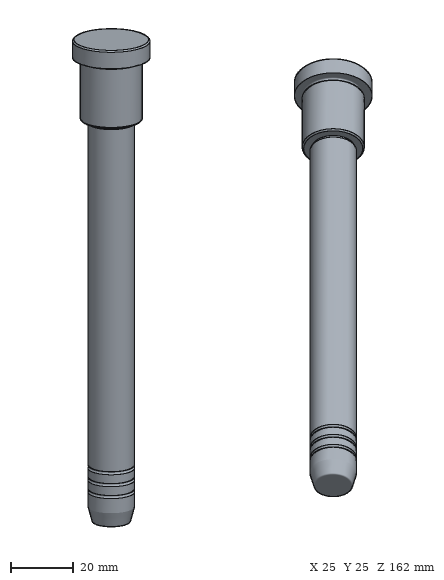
import cadquery as cq
import math

TOTAL_LENGTH = 162.0

HEAD_RADIUS = 12.5
HEAD_HEIGHT = 6.0
HEAD_CHAMFER = 0.5

COLLAR_RADIUS = 10.0
COLLAR_LENGTH = 21.0
COLLAR_CHAMFER = 0.5

SHANK_RADIUS = 7.5
TIP_LENGTH = 5.0
TIP_TAPER_ANGLE = 15.0
TIP_FILLET = 0.5

GROOVE_WIDTH = 1.0
GROOVE_DEPTH = 0.5
GROOVE_FILLET = 0.45
TIP_GROOVE_COUNT = 3
TIP_GROOVE_PITCH = 4.0
LOWEST_TIP_GROOVE = 10.0

HEAD_BOTTOM = TOTAL_LENGTH - HEAD_HEIGHT
COLLAR_BOTTOM = HEAD_BOTTOM - COLLAR_LENGTH
TIP_RADIUS = SHANK_RADIUS - TIP_LENGTH * math.tan(math.radians(TIP_TAPER_ANGLE))


def cylinder(radius, bottom, height):
    return cq.Workplane("XY").workplane(offset=bottom).circle(radius).extrude(height)


def make_head():
    head = cylinder(HEAD_RADIUS, HEAD_BOTTOM, HEAD_HEIGHT)
    return head.faces(">Z").edges().chamfer(HEAD_CHAMFER)


def make_collar():
    collar = cylinder(COLLAR_RADIUS, COLLAR_BOTTOM, COLLAR_LENGTH)
    return collar.faces("<Z").edges().chamfer(COLLAR_CHAMFER)


def make_shank():
    """Cylinder with a conical tip whose end edge is rounded."""
    profile = (
        cq.Workplane("XZ")
        .lineTo(TIP_RADIUS, 0)
        .lineTo(SHANK_RADIUS, TIP_LENGTH)
        .lineTo(SHANK_RADIUS, COLLAR_BOTTOM)
        .lineTo(0, COLLAR_BOTTOM)
        .close()
    )
    shank = profile.revolve(360, (0, 0), (0, 1))
    return shank.faces("<Z").edges().fillet(TIP_FILLET)


def square_groove(radius, bottom):
    """Ring that sinks a square-cornered groove into a cylinder of the given radius."""
    return cylinder(radius, bottom, GROOVE_WIDTH).cut(
        cylinder(radius - GROOVE_DEPTH, bottom, GROOVE_WIDTH)
    )


def rounded_groove(radius, bottom):
    """Ring that sinks a groove with filleted floor corners into a cylinder of the given radius."""
    floor = radius - GROOVE_DEPTH
    top = bottom + GROOVE_WIDTH
    profile = (
        cq.Workplane("XZ")
        .moveTo(radius, bottom)
        .lineTo(floor + GROOVE_FILLET, bottom)
        .radiusArc((floor, bottom + GROOVE_FILLET), GROOVE_FILLET)
        .lineTo(floor, top - GROOVE_FILLET)
        .radiusArc((floor + GROOVE_FILLET, top), GROOVE_FILLET)
        .lineTo(radius, top)
        .close()
    )
    return profile.revolve(360, (0, 0), (0, 1))


result = make_shank().union(make_collar()).union(make_head())

result = result.cut(rounded_groove(COLLAR_RADIUS, HEAD_BOTTOM - GROOVE_WIDTH))
result = result.cut(square_groove(SHANK_RADIUS, COLLAR_BOTTOM - GROOVE_WIDTH))

for index in range(TIP_GROOVE_COUNT):
    groove_bottom = LOWEST_TIP_GROOVE + index * TIP_GROOVE_PITCH
    result = result.cut(rounded_groove(SHANK_RADIUS, groove_bottom))